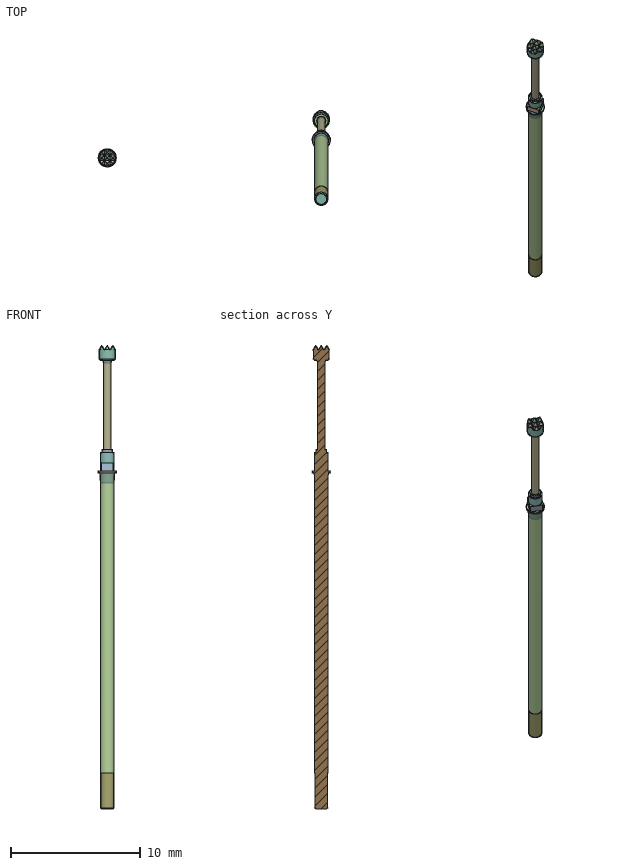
import cadquery as cq


total_length = 35.9
collar_diameter = 1.4
barrel_diameter = 1.06
plunger_diameter = 0.6
head_diameter = 1.25

tail_top = 2.8
taper_bottom = 25.25
collar_bottom = 26.05
collar_top = 26.2
square_top = 26.8
barrel_top = 27.62
lip_top = 27.84
neck_bottom = 34.57
head_bottom = 34.75

tail_diameter = 1.04
tail_chamfer = 0.1
taper_top_diameter = 1.14
lip_diameter = 0.84
square_side = barrel_diameter
head_chamfer = 0.1
neck_top_diameter = 0.7

point_pitch = 0.43
point_depth = 0.32
groove_centres = [k * point_pitch for k in (-1.5, -0.5, 0.5, 1.5)]

def cylinder(diameter, bottom, top):
    return cq.Workplane("XY").workplane(offset=bottom).circle(diameter / 2).extrude(top - bottom)

def cone(bottom_diameter, top_diameter, bottom, top):
    profile = [
        (0, bottom),
        (bottom_diameter / 2, bottom),
        (top_diameter / 2, top),
        (0, top),
    ]
    return cq.Workplane("XZ").polyline(profile).close().revolve(360, (0, 0), (0, 1))

def make_barrel():
    tail = cylinder(tail_diameter, 0, tail_top).faces("<Z").chamfer(tail_chamfer)
    tube = cylinder(barrel_diameter, tail_top, barrel_top)
    lip = cylinder(lip_diameter, barrel_top, lip_top)
    return tail.union(tube).union(lip)

def make_collar():
    taper = cone(barrel_diameter, taper_top_diameter, taper_bottom, collar_bottom)
    flange = cylinder(collar_diameter, collar_bottom, collar_top)
    square = (
        cq.Workplane("XY")
        .workplane(offset=collar_top)
        .rect(square_side, square_side)
        .extrude(square_top - collar_top)
        .intersect(cylinder(collar_diameter, collar_top, square_top))
    )
    return taper.union(flange).union(square)

def crown_grooves(plane):
    grooves = cq.Workplane(plane)
    half_width = point_pitch / 2
    for centre in groove_centres:
        grooves = grooves.moveTo(centre - half_width, total_length)
        grooves = grooves.lineTo(centre, total_length - point_depth)
        grooves = grooves.lineTo(centre + half_width, total_length).close()
    return grooves.extrude(head_diameter, both=True)

def make_plunger():
    rod = cylinder(plunger_diameter, lip_top, head_bottom)
    neck = cone(plunger_diameter, neck_top_diameter, neck_bottom, head_bottom)
    head = cylinder(head_diameter, head_bottom, total_length).faces("<Z").chamfer(head_chamfer)
    for plane in ("XZ", "YZ"):
        head = head.cut(crown_grooves(plane))
    return rod.union(neck).union(head)

result = make_barrel().union(make_collar()).union(make_plunger())